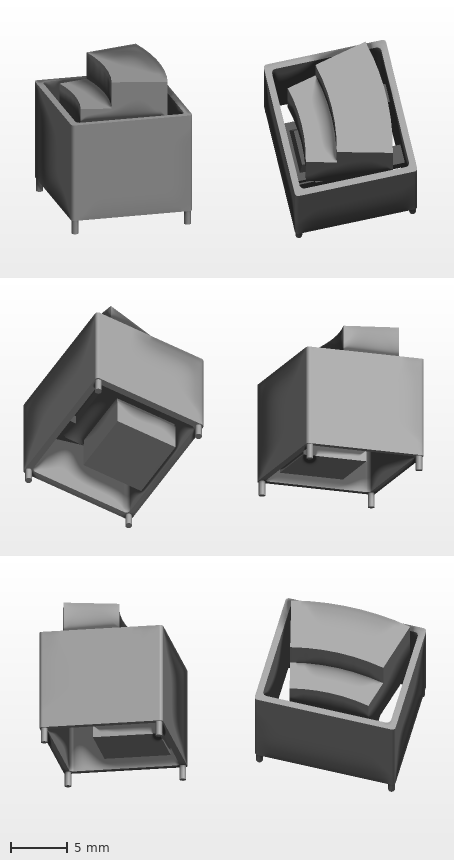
import cadquery as cq
import math


HOUSING_X = 13.0
HOUSING_Y = 11.2
HOUSING_HEIGHT = 9.0
WALL = 0.6
OUTER_CORNER_RADIUS = 0.3
INNER_CORNER_RADIUS = 0.4
PIN_DIAMETER = 0.6
PIN_INSET = 0.4
OVERALL_HEIGHT = 13.3
PIN_LENGTH = 1.3

BACK_RADIUS = 23.0
BACK_CROWN_Y = 4.2
BACK_HALF_WIDTH = 5.49
BACK_DEPTH = 5.0
STEP_DEPTH = 2.77
STEP_RISE = 0.5
BUTTON_SINK = 3.99

CARRIER_WIDTH = 8.0
CARRIER_FRONT_Y = -3.2
CARRIER_BACK_Y = 2.66
CARRIER_THICKNESS = 1.0
ARM_WIDTH = 1.78
ARM_SPACING = 6.0

SWITCH_SIZE = 6.0
SWITCH_FRONT_Y = -4.65
LEDGE_WIDTH = 0.15
LEDGE_DROP = 0.5
BOSS_BASE_X = 4.2
BOSS_TOP_X = 3.34
BOSS_INSET_Y = 0.45
BOSS_SLOPE_Y = 0.3
BOSS_TAPER = 0.72

BUTTON_BOTTOM = HOUSING_HEIGHT - BUTTON_SINK
CARRIER_BOTTOM = BUTTON_BOTTOM - CARRIER_THICKNESS
SWITCH_TOP = CARRIER_BOTTOM - BOSS_TAPER
BUTTON_TOP = OVERALL_HEIGHT - PIN_LENGTH
STEP_TOP = HOUSING_HEIGHT + STEP_RISE

ARC_CENTRE_Y = BACK_CROWN_Y - BACK_RADIUS
HALF_ANGLE = math.asin(BACK_HALF_WIDTH / BACK_RADIUS)
STEP_RADIUS = BACK_RADIUS - BACK_DEPTH
FRONT_RADIUS = STEP_RADIUS - STEP_DEPTH
REAR_WALL_Y = HOUSING_Y / 2 - WALL


def rounded_prism(size_x, size_y, height, corner_radius):
    """Upright block on the base plane with rounded vertical edges."""
    block = cq.Workplane("XY").rect(size_x, size_y).extrude(height)
    return block.edges("|Z").fillet(corner_radius)


def make_housing():
    outside = rounded_prism(HOUSING_X, HOUSING_Y, HOUSING_HEIGHT, OUTER_CORNER_RADIUS)
    inside = rounded_prism(HOUSING_X - 2 * WALL, HOUSING_Y - 2 * WALL, HOUSING_HEIGHT, INNER_CORNER_RADIUS)
    pins = (
        cq.Workplane("XY")
        .rect(HOUSING_X - 2 * PIN_INSET, HOUSING_Y - 2 * PIN_INSET, forConstruction=True)
        .vertices()
        .circle(PIN_DIAMETER / 2)
        .extrude(-PIN_LENGTH)
    )
    return outside.cut(inside).union(pins)


def arc_point(radius, angle):
    """Point on a button arc; the angle is measured from +Y towards +X."""
    return (radius * math.sin(angle), ARC_CENTRE_Y + radius * math.cos(angle))


def ring_sector(inner_radius, outer_radius, bottom, top):
    return (
        cq.Workplane("XY", origin=(0, 0, bottom))
        .moveTo(*arc_point(outer_radius, -HALF_ANGLE))
        .threePointArc(arc_point(outer_radius, 0), arc_point(outer_radius, HALF_ANGLE))
        .lineTo(*arc_point(inner_radius, HALF_ANGLE))
        .threePointArc(arc_point(inner_radius, 0), arc_point(inner_radius, -HALF_ANGLE))
        .close()
        .extrude(top - bottom)
    )


def make_button():
    back = ring_sector(STEP_RADIUS, BACK_RADIUS, BUTTON_BOTTOM, BUTTON_TOP)
    front_step = ring_sector(FRONT_RADIUS, STEP_RADIUS, BUTTON_BOTTOM, STEP_TOP)
    return back.union(front_step)


def block_between(width, front_y, back_y, centre_x=0):
    """Block with the height of the carrier plate, between two Y positions."""
    return (
        cq.Workplane("XY", origin=(centre_x, (front_y + back_y) / 2, CARRIER_BOTTOM))
        .rect(width, back_y - front_y)
        .extrude(CARRIER_THICKNESS)
    )


def make_carrier():
    carrier = block_between(CARRIER_WIDTH, CARRIER_FRONT_Y, CARRIER_BACK_Y)
    for side in (-1, 1):
        arm = block_between(ARM_WIDTH, CARRIER_BACK_Y, REAR_WALL_Y, side * ARM_SPACING / 2)
        carrier = carrier.union(arm)
    return carrier


def make_switch():
    centre_y = SWITCH_FRONT_Y + SWITCH_SIZE / 2
    base = (
        cq.Workplane("XY", origin=(0, centre_y, 0))
        .rect(SWITCH_SIZE, SWITCH_SIZE)
        .extrude(SWITCH_TOP - LEDGE_DROP)
    )
    middle = (
        cq.Workplane("XY", origin=(0, centre_y, 0))
        .rect(SWITCH_SIZE - 2 * LEDGE_WIDTH, SWITCH_SIZE)
        .extrude(SWITCH_TOP)
    )
    boss_base_y = SWITCH_SIZE - 2 * BOSS_INSET_Y
    boss = (
        cq.Workplane("XY", origin=(0, centre_y, SWITCH_TOP))
        .rect(BOSS_BASE_X, boss_base_y)
        .workplane(offset=BOSS_TAPER)
        .rect(BOSS_TOP_X, boss_base_y - 2 * BOSS_SLOPE_Y)
        .loft(ruled=True)
    )
    return base.union(middle).union(boss)


housing = make_housing()
button = make_button()
carrier = make_carrier()
switch = make_switch()

result = cq.Compound.makeCompound([housing.val(), button.val(), carrier.val(), switch.val()])